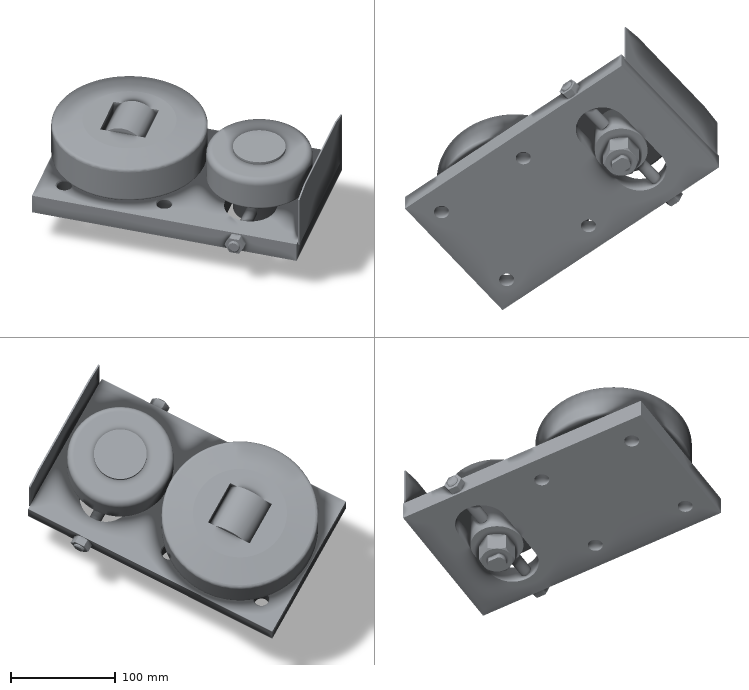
import cadquery as cq
import math

overall_length = 266.5
overall_width = 170.0
overall_height = 107.5

guard_thickness = 1.5
plate_length = overall_length - guard_thickness
plate_width = 150.0
plate_thickness = 20.0

wheel_radius = plate_width / 2
wheel_x = wheel_radius
wheel_bottom = 32.0
wheel_top = 73.3
wheel_flat_radius = 45.0
wheel_crown_drop = 3.5
wheel_edge_radius = 3.2
boss_radius = 37.5

pocket_size = 45.3
cross_roller_radius = pocket_size / 2
cross_roller_top = 79.0
cross_roller_axis_z = cross_roller_top - cross_roller_radius

mount_hole_radius = 7.2
mount_hole_chamfer = 1.0
mount_hole_spacing = 100.2

guide_x = 205.0
guide_radius = 51.0
guide_bottom = 32.8
guide_top = 67.2
guide_top_fillet = 6.0
guide_bottom_fillet = 2.7
stem_radius = 25.3
stem_bottom = -2.7
stem_top = 70.0
slot_length = 108.7

nut_chamfer_angle = 30
guide_nut_flats = 30.0
guide_nut_bottom = -23.2
shaft_diameter = 17.9
shaft_flats = 13.9
shaft_bottom = cross_roller_top - overall_height

screw_radius = 5.9
screw_chamfer = 1.0
screw_z = 10.5
screw_outer_y = overall_width / 2
screw_nut_flats = 16.5
screw_nut_height = 8.0

guard_width = 141.2
guard_bottom = 16.5
guard_top = 75.0
guard_corner_width = 19.5
guard_corner_drop = 4.5


def cylinder(x, radius, bottom, top):
    """Upright cylinder on the centre line Y = 0, between two heights."""
    return cq.Workplane("XY", origin=(x, 0, bottom)).circle(radius).extrude(top - bottom)


def hex_nut(flats, height, turned_faces):
    """Hexagonal prism from Z = 0 up, corners on +-X, turned down to a circle at the given faces."""
    corner_radius = flats / math.sqrt(3)
    chamfer_depth = corner_radius - flats / 2
    chamfer_height = chamfer_depth * math.tan(math.radians(nut_chamfer_angle))
    prism = cq.Workplane("XY").polygon(6, 2 * corner_radius).extrude(height)
    turned = cq.Workplane("XY").circle(corner_radius).extrude(height)
    turned = turned.faces(turned_faces).chamfer(chamfer_height, chamfer_depth)
    return prism.intersect(turned)


def make_mount_hole_cutters():
    """Through holes with a small chamfer at the top of the plate."""
    cutter = cylinder(0, mount_hole_radius, 0, plate_thickness)
    countersink = cq.Workplane(
        cq.Solid.makeCone(
            mount_hole_radius,
            mount_hole_radius + mount_hole_chamfer,
            mount_hole_chamfer,
            cq.Vector(0, 0, plate_thickness - mount_hole_chamfer),
        )
    )
    cutter = cutter.union(countersink).val()
    return (
        cq.Workplane("XY", origin=(wheel_x, 0, 0))
        .rarray(mount_hole_spacing, mount_hole_spacing, 2, 2)
        .eachpoint(cutter)
    )


def make_plate():
    """Base plate with the guide slot and the four mounting holes."""
    plate = cq.Workplane("XY").box(plate_length, plate_width, plate_thickness, centered=(False, True, False))
    slot = (
        cq.Workplane("XY", origin=(guide_x, 0, 0))
        .slot2D(slot_length, 2 * stem_radius, 90)
        .extrude(plate_thickness)
    )
    return plate.cut(slot).cut(make_mount_hole_cutters())


def make_main_wheel():
    """Crowned wheel on its boss, with the cross roller in the top."""
    wheel = (
        cq.Workplane("XZ", origin=(wheel_x, 0, 0))
        .moveTo(0, wheel_bottom)
        .lineTo(wheel_radius, wheel_bottom)
        .lineTo(wheel_radius, wheel_top - wheel_crown_drop)
        .lineTo(wheel_flat_radius, wheel_top)
        .lineTo(0, wheel_top)
        .close()
        .revolve(360, (0, 0), (0, 1))
        .edges(cq.selectors.RadiusNthSelector(-1))
        .fillet(wheel_edge_radius)
    )
    boss = cylinder(wheel_x, boss_radius, plate_thickness, wheel_bottom)
    pocket = cq.Workplane("XY", origin=(wheel_x, 0, cross_roller_axis_z)).box(
        pocket_size, pocket_size, wheel_top - cross_roller_axis_z, centered=(True, True, False)
    )
    cross_roller = (
        cq.Workplane("XZ", origin=(wheel_x, pocket_size / 2, cross_roller_axis_z))
        .circle(cross_roller_radius)
        .extrude(pocket_size)
    )
    return wheel.union(boss).cut(pocket).union(cross_roller)


def make_adjuster():
    """Adjusting screw on the -Y side and its nut, turned on the face against the plate."""
    screw = (
        cq.Workplane("XZ", origin=(guide_x, -stem_radius, screw_z))
        .circle(screw_radius)
        .extrude(screw_outer_y - stem_radius)
        .faces("<Y or >Y")
        .chamfer(screw_chamfer)
    )
    nut = (
        hex_nut(screw_nut_flats, screw_nut_height, "<Z")
        .rotate((0, 0, 0), (1, 0, 0), 90)
        .translate((guide_x, -plate_width / 2, screw_z))
    )
    return screw.union(nut)


def make_guard():
    """Upright sheet with sloping top corners."""
    half_width = guard_width / 2
    return (
        cq.Workplane("YZ", origin=(plate_length, 0, 0))
        .moveTo(-half_width, guard_bottom)
        .lineTo(half_width, guard_bottom)
        .lineTo(half_width, guard_top - guard_corner_drop)
        .lineTo(half_width - guard_corner_width, guard_top)
        .lineTo(guard_corner_width - half_width, guard_top)
        .lineTo(-half_width, guard_top - guard_corner_drop)
        .close()
        .extrude(guard_thickness)
    )


def make_base():
    """Plate with the main wheel, the adjusting screws and the guard."""
    adjuster = make_adjuster()
    return (
        make_plate()
        .union(make_main_wheel())
        .union(adjuster)
        .union(adjuster.mirror("XZ"))
        .union(make_guard())
    )


def make_guide_roller():
    """Guide roller with its stem, nut and flatted shaft end."""
    roller = (
        cylinder(guide_x, guide_radius, guide_bottom, guide_top)
        .faces(">Z")
        .edges()
        .fillet(guide_top_fillet)
        .faces("<Z")
        .edges()
        .fillet(guide_bottom_fillet)
    )
    stem = cylinder(guide_x, stem_radius, stem_bottom, stem_top)
    nut = (
        hex_nut(guide_nut_flats, stem_bottom - guide_nut_bottom, "<Z or >Z")
        .rotate((0, 0, 0), (0, 0, 1), 90)
        .translate((guide_x, 0, guide_nut_bottom))
    )
    flats = cq.Workplane("XY", origin=(guide_x, 0, shaft_bottom)).box(
        shaft_diameter, shaft_flats, guide_nut_bottom - shaft_bottom, centered=(True, True, False)
    )
    shaft_end = cylinder(guide_x, shaft_diameter / 2, shaft_bottom, guide_nut_bottom).intersect(flats)
    return roller.union(stem).union(nut).union(shaft_end)


base = make_base()
guide_roller = make_guide_roller()

result = cq.Compound.makeCompound([base.val(), guide_roller.val()])